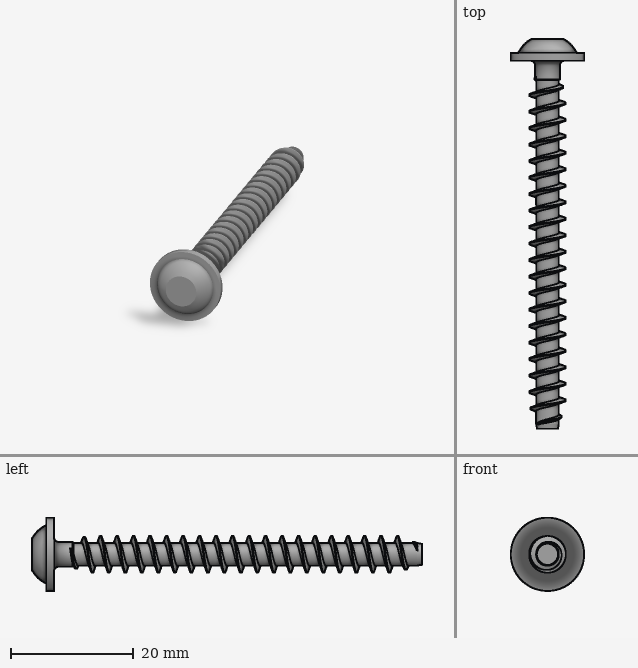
import cadquery as cq
import math


flange_radius = 6.0
flange_thickness = 1.3
dome_base_radius = 4.77
dome_top_radius = 2.6
dome_height = 2.3
head_height = flange_thickness + dome_height

length = 60.0
shank_radius = 2.05
shank_end = -3.0
seat_fillet_radius = 0.7
core_radius = 1.87
core_start = shank_end - (shank_radius - core_radius)
tip_radius = 1.72
tip_taper_start = -59.2

pitch = 2.69
thread_radius = 3.0
crest_width = 0.16
root_width = 0.95
root_sink = 0.15
faded_crest_sink = 0.1
root_radius = core_radius - root_sink
faded_crest_radius = core_radius - faded_crest_sink
phase_height = -6.92

upper_fade_start = -1.9
upper_fade_end = -5.3
lower_fade_start = -56.1
lower_fade_end = -59.5


def make_body():
    """Solid of revolution: domed flange head, filleted shank, core and tapered tip."""
    sphere_centre = (
        head_height**2 + dome_top_radius**2 - flange_thickness**2 - dome_base_radius**2
    ) / (2 * dome_height)
    sphere_radius = math.hypot(dome_top_radius, head_height - sphere_centre)
    dome_mid_height = flange_thickness + dome_height / 2
    dome_mid_radius = math.sqrt(sphere_radius**2 - (dome_mid_height - sphere_centre) ** 2)

    fillet_reach = seat_fillet_radius * (1 - math.sqrt(0.5))
    profile = (
        cq.Workplane("XZ")
        .moveTo(0, head_height)
        .lineTo(dome_top_radius, head_height)
        .threePointArc((dome_mid_radius, dome_mid_height), (dome_base_radius, flange_thickness))
        .lineTo(flange_radius, flange_thickness)
        .lineTo(flange_radius, 0)
        .lineTo(shank_radius + seat_fillet_radius, 0)
        .threePointArc(
            (shank_radius + fillet_reach, -fillet_reach),
            (shank_radius, -seat_fillet_radius),
        )
        .lineTo(shank_radius, shank_end)
        .lineTo(core_radius, core_start)
        .lineTo(core_radius, tip_taper_start)
        .lineTo(tip_radius, -length)
        .lineTo(0, -length)
        .close()
    )
    return profile.revolve(360, (0, 0, 0), (0, 1, 0))


def helix_edge(bottom, top, bottom_radius, top_radius, offset):
    """Right-handed helix from bottom to top, shifted along the axis by the offset."""
    height = top - bottom
    base = cq.Vector(0, 0, bottom + offset)
    axis = cq.Vector(0, 0, 1)
    if bottom_radius == top_radius:
        helix = cq.Wire.makeHelix(pitch, height, bottom_radius, base, axis)
    else:
        half_angle = math.atan2(top_radius - bottom_radius, height)
        slant = 1 / math.cos(half_angle)
        helix = cq.Wire.makeHelix(
            pitch * slant, height * slant, bottom_radius, base, axis, math.degrees(half_angle)
        )
    start_angle = 360 * (bottom - phase_height) / pitch
    return helix.rotate(cq.Vector(0, 0, 0), axis, start_angle).Edges()[0]


def make_thread_section(bottom, top, bottom_crest_radius, top_crest_radius):
    """Trapezoidal ridge between two heights, its crest radius changing evenly."""
    edges = [
        helix_edge(bottom, top, root_radius, root_radius, -root_width / 2),
        helix_edge(bottom, top, bottom_crest_radius, top_crest_radius, -crest_width / 2),
        helix_edge(bottom, top, bottom_crest_radius, top_crest_radius, crest_width / 2),
        helix_edge(bottom, top, root_radius, root_radius, root_width / 2),
    ]
    flanks = [cq.Face.makeRuledSurface(edges[i - 1], edges[i]) for i in range(len(edges))]
    end_caps = []
    for get_end in (cq.Edge.startPoint, cq.Edge.endPoint):
        corners = [get_end(edge) for edge in edges]
        end_caps.append(cq.Face.makeFromWires(cq.Wire.makePolygon(corners, close=True)))
    return cq.Solid.makeSolid(cq.Shell.makeShell(flanks + end_caps))


def make_thread_sections():
    """Full-height thread with a fading section at each end."""
    return [
        make_thread_section(lower_fade_end, lower_fade_start, faded_crest_radius, thread_radius),
        make_thread_section(lower_fade_start, upper_fade_end, thread_radius, thread_radius),
        make_thread_section(upper_fade_end, upper_fade_start, thread_radius, faded_crest_radius),
    ]


screw = make_body()
for section in make_thread_sections():
    screw = screw.union(cq.Workplane(obj=section))
result = screw.rotate((0, 0, 0), (1, 0, 0), -90)